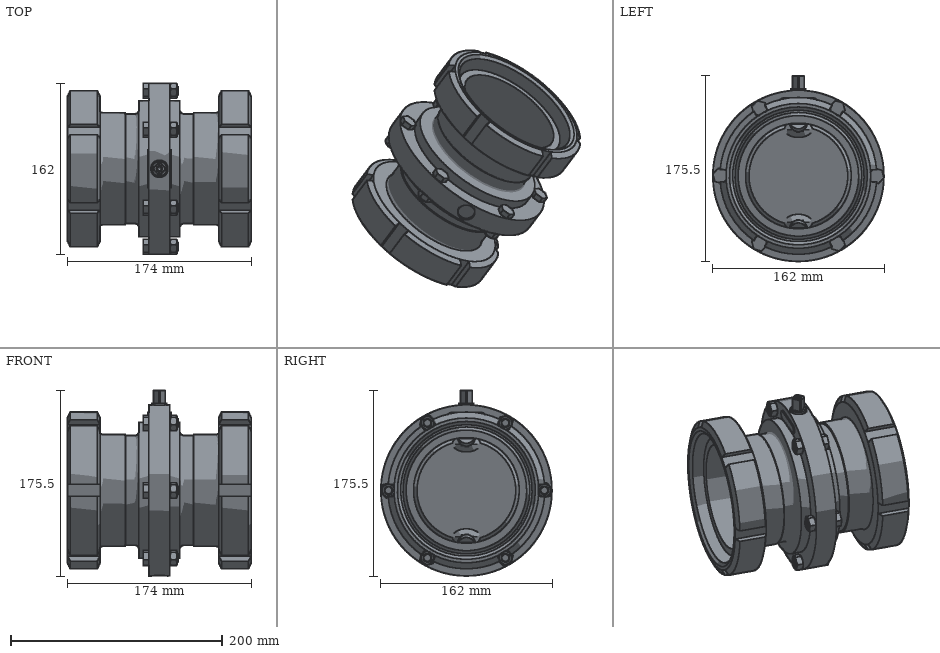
import cadquery as cq
import math

OVERALL_LENGTH = 174.0
BORE_D = 100.0

NUT_LENGTH = 31.0
NUT_D = 148.4
NUT_EDGE_X = 2.8
NUT_EDGE_R = 5.7
NUT_BORE_D = 124.29
NUT_MOUTH_D = 130.4
NUT_MOUTH_DEPTH = 2.6
SLOT_COUNT = 6
SLOT_WIDTH = 11.5
SLOT_FLOOR_R = 68.4

LINER_TIP_D = 114.0
LINER_BASE_D = 120.0
LINER_TIP_INSET = 12.0
LINER_BASE_INSET = 25.5
LINER_D = 106.0
LINER_END_X = 32.5
LINER_FILLET = 4.0
LINER_FILLET_END_X = 53.3

PIPE_D = 104.0
HOUSING_D = 129.0
HOUSING_LENGTH = 38.6
HOUSING_FILLET = 4.0
WELD_GROOVE = 0.5
RING_D = 162.0
RING_WIDTH = 20.0

BOLT_COUNT = 6
BOLT_CIRCLE_R = 73.7
BOLT_D = 8.0
BOLT_TIP_D = 6.8
BOLT_TIP_X = 18.0
HEX_ACROSS_FLATS = 13.0
HEX_TURN = 15.0
HEAD_HEIGHT = 5.3
HEX_NUT_HEIGHT = 6.8
HEX_NUT_FACE_D = 12.0
HEX_NUT_CHAMFER_ANGLE = 30.0

PAD_LENGTH = 36.0
PAD_HEIGHT = 8.5
PAD_THICKNESS = 1.2
PAD_CENTER_Z = 69.5

STEM_TOP_Z = 94.5
STEM_D = 11.4
STEM_SQUARE = 9.0
STEM_CHAMFER = 0.5
COLLAR_D = 14.0
COLLAR_TOP_Z = 82.3
COLLAR_RECESS_D = 16.2
COLLAR_RECESS_FLOOR_Z = 78.0
STEM_HOLE_D = 4.13
STEM_HOLE_DEPTH = 10.0
STEM_COUNTERSINK_D = 5.5
STEM_NOTCH_WIDTH = 1.0
STEM_NOTCH_DEPTH = 0.5
DRILL_POINT_ANGLE = 118.0

DISC_FACE_D = 93.4
DISC_CENTER_D = 4.13
DISC_CENTER_HALF = 6.0
DISC_FACE_HALF = 4.0
DISC_RIM_HALF = 2.0
HUB_CENTER_Z = 43.8
HUB_HALF_WIDTH = 13.2
HUB_HALF_HEIGHT = 8.9
HUB_FLARE_HEIGHT = 2.1
HUB_FLARE_TAPER = 72.0
KNUCKLE_BASE_R = 8.5
KNUCKLE_HEIGHT = 25.0
KNUCKLE_TAPER = 9.5
KNUCKLE_SPHERE_R = 49.5

END_X = OVERALL_LENGTH / 2
NUT_BACK_X = END_X - NUT_LENGTH
HOUSING_X = HOUSING_LENGTH / 2
RING_X = RING_WIDTH / 2
BORE_R = BORE_D / 2


def revolve_about_x(profile):
    """Revolve an (x, radius) outline about the flow axis."""
    return profile.close().revolve(360, (0, 0, 0), (1, 0, 0))


def cylinder_z(diameter, bottom, top):
    return cq.Workplane("XY").workplane(offset=bottom).circle(diameter / 2).extrude(top - bottom)


def both_ends(solid):
    return solid.union(solid.mirror("YZ"))


def union_nut():
    """Slotted round nut at the +X end."""
    outer_r = NUT_D / 2
    bore_r = NUT_BORE_D / 2
    mouth_r = NUT_MOUTH_D / 2
    nut = revolve_about_x(
        cq.Workplane("XZ")
        .moveTo(NUT_BACK_X, PIPE_D / 2)
        .lineTo(NUT_BACK_X, outer_r - NUT_EDGE_R)
        .lineTo(NUT_BACK_X + NUT_EDGE_X, outer_r)
        .lineTo(END_X - NUT_EDGE_X, outer_r)
        .lineTo(END_X, outer_r - NUT_EDGE_R)
        .lineTo(END_X, mouth_r)
        .lineTo(END_X - NUT_MOUTH_DEPTH, bore_r)
        .lineTo(END_X - LINER_BASE_INSET, bore_r)
        .lineTo(END_X - LINER_BASE_INSET, PIPE_D / 2)
    )
    slot = cq.Workplane("XY").box(
        NUT_LENGTH, NUT_D, SLOT_WIDTH, centered=(False, False, True)
    ).translate((NUT_BACK_X, SLOT_FLOOR_R, 0))
    for index in range(SLOT_COUNT):
        nut = nut.cut(slot.rotate((0, 0, 0), (1, 0, 0), index * 360 / SLOT_COUNT))
    return nut


def liner():
    """Welding liner whose conical tip sits inside the +X nut."""
    liner_r = LINER_D / 2
    return revolve_about_x(
        cq.Workplane("XZ")
        .moveTo(LINER_END_X, BORE_R)
        .lineTo(LINER_END_X, liner_r)
        .lineTo(LINER_FILLET_END_X, liner_r)
        .radiusArc((LINER_FILLET_END_X + LINER_FILLET, liner_r + LINER_FILLET), -LINER_FILLET)
        .lineTo(END_X - LINER_BASE_INSET, liner_r + LINER_FILLET)
        .lineTo(END_X - LINER_BASE_INSET, LINER_BASE_D / 2)
        .lineTo(END_X - LINER_TIP_INSET, LINER_TIP_D / 2)
        .lineTo(END_X - LINER_TIP_INSET, BORE_R)
    )


def housing_half():
    """Housing from the valve centre to the weld with the +X liner."""
    pipe_r = PIPE_D / 2
    return revolve_about_x(
        cq.Workplane("XZ")
        .moveTo(0, BORE_R)
        .lineTo(0, HOUSING_D / 2)
        .lineTo(HOUSING_X, HOUSING_D / 2)
        .lineTo(HOUSING_X, pipe_r + HOUSING_FILLET)
        .radiusArc((HOUSING_X + HOUSING_FILLET, pipe_r), -HOUSING_FILLET)
        .lineTo(LINER_END_X - WELD_GROOVE, pipe_r)
        .lineTo(LINER_END_X, pipe_r - WELD_GROOVE)
        .lineTo(LINER_END_X, BORE_R)
    )


def flange_ring():
    """Wide ring that carries the bolts and the stem."""
    return revolve_about_x(
        cq.Workplane("XZ")
        .moveTo(-RING_X, BORE_R)
        .lineTo(-RING_X, RING_D / 2)
        .lineTo(RING_X, RING_D / 2)
        .lineTo(RING_X, BORE_R)
    )


def name_plate_pad():
    """Raised obround on the +X face of the ring, beneath the stem."""
    return (
        cq.Workplane("YZ", origin=(RING_X, 0, PAD_CENTER_Z))
        .slot2D(PAD_LENGTH, PAD_HEIGHT)
        .extrude(PAD_THICKNESS)
    )


def hexagon(start_x, height):
    corner_d = HEX_ACROSS_FLATS / math.cos(math.radians(30))
    prism = cq.Workplane("YZ", origin=(start_x, 0, 0)).polygon(6, corner_d).extrude(height)
    return prism.rotate((0, 0, 0), (1, 0, 0), HEX_TURN)


def bolt():
    """Hex bolt along X with its head at -X and a chamfered nut at +X."""
    corner_r = HEX_ACROSS_FLATS / 2 / math.cos(math.radians(30))
    face_r = HEX_NUT_FACE_D / 2
    chamfer = (corner_r - face_r) * math.tan(math.radians(HEX_NUT_CHAMFER_ANGLE))
    nut_top = RING_X + HEX_NUT_HEIGHT
    chamfer_envelope = revolve_about_x(
        cq.Workplane("XZ")
        .moveTo(RING_X, 0)
        .lineTo(RING_X, face_r)
        .lineTo(RING_X + chamfer, corner_r)
        .lineTo(nut_top - chamfer, corner_r)
        .lineTo(nut_top, face_r)
        .lineTo(nut_top, 0)
    )
    nut = hexagon(RING_X, HEX_NUT_HEIGHT).intersect(chamfer_envelope)
    head = hexagon(-RING_X - HEAD_HEIGHT, HEAD_HEIGHT)
    shank = (
        cq.Workplane("YZ", origin=(-RING_X, 0, 0))
        .circle(BOLT_D / 2)
        .extrude(RING_X + BOLT_TIP_X)
        .faces(">X")
        .chamfer((BOLT_D - BOLT_TIP_D) / 2)
    )
    return shank.union(head).union(nut)


def butterfly_disc():
    """Closed disc with conical faces, filling the bore."""
    half = revolve_about_x(
        cq.Workplane("XZ")
        .moveTo(0, 0)
        .lineTo(DISC_CENTER_HALF, 0)
        .lineTo(DISC_CENTER_HALF, DISC_CENTER_D / 2)
        .lineTo(DISC_FACE_HALF, DISC_FACE_D / 2)
        .lineTo(DISC_RIM_HALF, BORE_R)
        .lineTo(0, BORE_R)
    )
    return both_ends(half)


def disc_hub():
    """Flared hub around the shaft at the +Z side, alike on both disc faces."""
    flare = both_ends(
        cq.Workplane("YZ", origin=(DISC_FACE_HALF, 0, HUB_CENTER_Z))
        .ellipse(HUB_HALF_WIDTH, HUB_HALF_HEIGHT)
        .extrude(HUB_FLARE_HEIGHT, taper=HUB_FLARE_TAPER)
    )
    knuckle = both_ends(
        cq.Workplane("YZ", origin=(DISC_FACE_HALF, 0, BORE_R))
        .circle(KNUCKLE_BASE_R)
        .extrude(KNUCKLE_HEIGHT, taper=KNUCKLE_TAPER)
    ).intersect(cq.Workplane("XY").sphere(KNUCKLE_SPHERE_R))
    core = (
        cq.Workplane("YZ", origin=(-DISC_FACE_HALF, 0, HUB_CENTER_Z))
        .ellipse(HUB_HALF_WIDTH, HUB_HALF_HEIGHT)
        .extrude(2 * DISC_FACE_HALF)
    )
    shaft = cylinder_z(COLLAR_D, HUB_CENTER_Z, HOUSING_D / 2)
    bore_plug = cq.Workplane("YZ").circle(BORE_R).extrude(LINER_END_X, both=True)
    return flare.union(core).union(knuckle).union(shaft).intersect(bore_plug)


def stem():
    """Squared stem end above a round collar, notched and drilled on top."""
    collar = cylinder_z(COLLAR_D, COLLAR_RECESS_FLOOR_Z, COLLAR_TOP_Z)
    square = (
        cq.Workplane("XY")
        .workplane(offset=COLLAR_TOP_Z)
        .rect(STEM_SQUARE, STEM_SQUARE)
        .extrude(STEM_TOP_Z - COLLAR_TOP_Z)
        .rotate((0, 0, 0), (0, 0, 1), 45)
    )
    envelope = cylinder_z(STEM_D, COLLAR_TOP_Z, STEM_TOP_Z).faces(">Z").chamfer(STEM_CHAMFER)
    hole_r = STEM_HOLE_D / 2
    sink_r = STEM_COUNTERSINK_D / 2
    hole_floor = STEM_TOP_Z - STEM_HOLE_DEPTH
    point_depth = hole_r / math.tan(math.radians(DRILL_POINT_ANGLE / 2))
    hole = (
        cq.Workplane("XZ")
        .moveTo(0, hole_floor - point_depth)
        .lineTo(hole_r, hole_floor)
        .lineTo(hole_r, STEM_TOP_Z - (sink_r - hole_r))
        .lineTo(sink_r, STEM_TOP_Z)
        .lineTo(0, STEM_TOP_Z)
        .close()
        .revolve(360, (0, 0, 0), (0, 1, 0))
    )
    notch = cq.Workplane("XY").box(STEM_NOTCH_WIDTH, STEM_D, 2 * STEM_NOTCH_DEPTH)
    notch = notch.translate((0, 0, STEM_TOP_Z))
    return collar.union(square.intersect(envelope)).cut(hole).cut(notch)


def valve():
    end_assembly = housing_half().union(liner()).union(union_nut()).union(name_plate_pad())
    body = both_ends(end_assembly).union(flange_ring())
    flange_bolt = bolt()
    for index in range(BOLT_COUNT):
        angle = math.radians(index * 360 / BOLT_COUNT)
        place = (0, BOLT_CIRCLE_R * math.cos(angle), BOLT_CIRCLE_R * math.sin(angle))
        body = body.union(flange_bolt.translate(place))
    recess = cylinder_z(COLLAR_RECESS_D, COLLAR_RECESS_FLOOR_Z, COLLAR_TOP_Z)
    hub = disc_hub()
    body = body.union(butterfly_disc()).union(hub).union(hub.mirror("XY"))
    return body.cut(recess).cut(recess.mirror("XY")).union(stem())


result = valve()